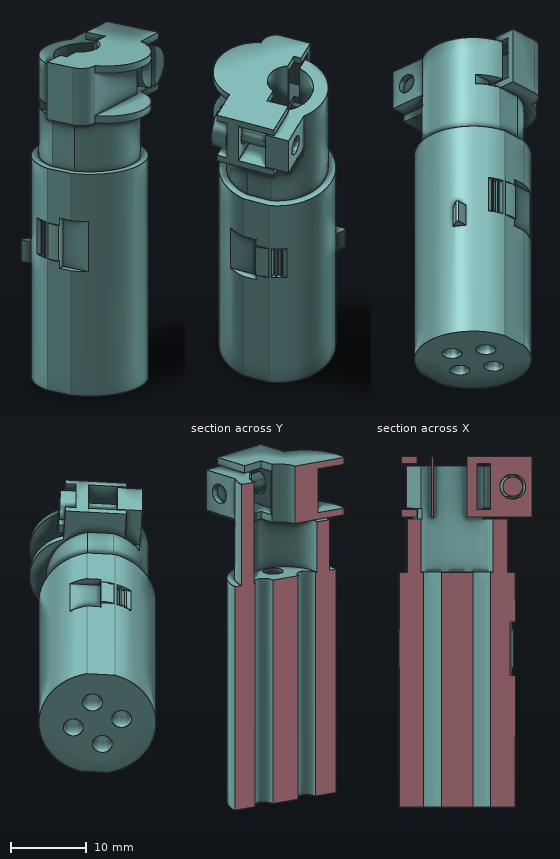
import cadquery as cq
import math

PART_ANGLE = 15.0

BODY_RADIUS = 7.72
BODY_HEIGHT = 31.0
BODY_FLAT = 7.5
NECK_RADIUS = 6.72
NECK_FLAT = 6.5
NECK_TOP = 38.0
BORE_RADIUS = 4.75
CONTACT_RADIUS = 1.3
CONTACT_CIRCLE_RADIUS = 3.25
CONTACT_COUNT = 4

LATCH_HEIGHT = 5.0
LATCH_CENTRE_Z = 20.9
LATCH_FLOOR = 6.58
WINDOW_LENGTH = 4.0
WINDOW_HEIGHT = 7.0
TAB_LENGTH = 1.75
GRIP_START = -4.1
GRIP_END = -2.13
RIB_CENTRES = (-3.3, -2.6)
RIB_WIDTH = 0.22
RIB_RADIUS = 7.45

KEY_ANGLE = 210.0
KEY_TIP_RADIUS = 9.04
KEY_TIP_WIDTH = 0.3
KEY_DEPTH = 2.0
KEY_ROOT_DEPTH = 1.0
KEY_APEX_ANGLE = 56.0
KEY_BOTTOM = 16.05
KEY_HEIGHT = 3.0

JAW_BOTTOM = 39.4
JAW_TOP = 45.0
JAW_END_U = -1.33
EAR_OUTER_U = -5.37
EAR_INNER_U = -2.1
EAR_START_V = 4.0
EAR_END_V = 9.41
SUPPORT_MIN_V = -4.85
SUPPORT_MAX_V = 4.15

CAP_BOTTOM = 38.25
CAP_HEIGHT = 8.0
CAP_TOP = CAP_BOTTOM + CAP_HEIGHT
PLATE = 1.0
CAP_MIN_V = -8.5
CAP_MAX_V = 9.43
CAP_MAX_U = 4.8
CAP_FACE_U = -0.27
CAP_EAR_U = -3.28
CAP_EAR_START_V = 4.3
CAP_LIP_U = -1.3
CAP_LIP_END_V = -5.25
CAP_CORNER_RADIUS = 2.0
CAP_DISC_U = 3.0
CAP_DISC_V = -0.6
CAP_DISC_RADIUS = 5.91
CAP_BORE_U = -1.7
CAP_BORE_V = -0.5
CAP_BORE_RADIUS = 3.05
POCKET_END_U = 1.74
POCKET_LOW_V = -3.45
POCKET_LIP_V = -7.57
POCKET_HIGH_V = 2.4
HEAD_SEAT_U = 3.4
HEAD_SEAT_V = 4.1

SCREW_V = 6.93
SCREW_Z = CAP_BOTTOM + CAP_HEIGHT / 2
SCREW_RADIUS = 1.3
SCREW_HOLE_RADIUS = 1.6
SCREW_END_DEPTH = 0.9
HEAD_RADIUS = 2.8
HEAD_END_U = 5.5
SLOT_WIDTH = 0.84
SLOT_DEPTH = 0.8

FAR = 20.0


def block(u0, u1, v0, v1, z0, z1):
    return cq.Workplane("XY").box(u1 - u0, v1 - v0, z1 - z0, centered=False).translate((u0, v0, z0))


def cylinder(radius, z0, z1, u=0.0, v=0.0):
    return cq.Workplane("XY", origin=(u, v, z0)).circle(radius).extrude(z1 - z0)


def rod(radius, u0, u1):
    """Cylinder on the screw axis."""
    return cq.Workplane("YZ", origin=(u0, SCREW_V, SCREW_Z)).circle(radius).extrude(u1 - u0)


def flatted_cylinder(radius, flat, z0, z1):
    return cylinder(radius, z0, z1).intersect(block(-FAR, FAR, -flat, flat, z0, z1))


def latch_tools():
    """Material to remove and to add for the latch on the -v flat."""
    z0 = LATCH_CENTRE_Z - LATCH_HEIGHT / 2
    z1 = LATCH_CENTRE_Z + LATCH_HEIGHT / 2
    window = block(
        0, WINDOW_LENGTH, -FAR, -LATCH_FLOOR,
        LATCH_CENTRE_Z - WINDOW_HEIGHT / 2, LATCH_CENTRE_Z + WINDOW_HEIGHT / 2,
    )
    grip = block(GRIP_START, GRIP_END, -FAR, -LATCH_FLOOR, z0, z1)
    for centre in RIB_CENTRES:
        rib = block(centre - RIB_WIDTH / 2, centre + RIB_WIDTH / 2, -FAR, 0, z0, z1)
        grip = grip.cut(rib.intersect(cylinder(RIB_RADIUS, z0, z1)))
    tab = block(-TAB_LENGTH, 0, -FAR, -LATCH_FLOOR, z0, z1)
    tab = tab.intersect(cylinder(BODY_RADIUS, z0, z1))
    return window.union(grip), tab


def make_key():
    half_tip = KEY_TIP_WIDTH / 2
    half_width = half_tip + KEY_DEPTH * math.tan(math.radians(KEY_APEX_ANGLE / 2))
    base_radius = KEY_TIP_RADIUS - KEY_DEPTH
    root_radius = base_radius - KEY_ROOT_DEPTH
    key = (
        cq.Workplane("XY", origin=(0, 0, KEY_BOTTOM))
        .polyline([
            (root_radius, -half_width), (base_radius, -half_width),
            (KEY_TIP_RADIUS, -half_tip), (KEY_TIP_RADIUS, half_tip),
            (base_radius, half_width), (root_radius, half_width),
        ])
        .close().extrude(KEY_HEIGHT)
    )
    return key.rotate((0, 0, 0), (0, 0, 1), KEY_ANGLE)


def make_jaw():
    support = block(-FAR, EAR_INNER_U, SUPPORT_MIN_V, SUPPORT_MAX_V, NECK_TOP, JAW_BOTTOM)
    support = support.intersect(cylinder(NECK_RADIUS, NECK_TOP, JAW_BOTTOM))
    lower_part = block(-FAR, JAW_END_U, -FAR, 0, JAW_BOTTOM, JAW_TOP)
    upper_part = block(-FAR, EAR_INNER_U, 0, FAR, JAW_BOTTOM, JAW_TOP)
    ring = cylinder(NECK_RADIUS, JAW_BOTTOM, JAW_TOP).intersect(lower_part.union(upper_part))
    ear = block(EAR_OUTER_U, EAR_INNER_U, EAR_START_V, EAR_END_V, JAW_BOTTOM, JAW_TOP)
    return ring.union(ear).union(support)


def make_shell():
    shell = flatted_cylinder(BODY_RADIUS, BODY_FLAT, 0, BODY_HEIGHT)
    removed, tab = latch_tools()
    shell = shell.cut(removed).cut(removed.mirror("XZ"))
    shell = shell.union(tab).union(tab.mirror("XZ")).union(make_key())
    shell = shell.union(flatted_cylinder(NECK_RADIUS, NECK_FLAT, BODY_HEIGHT, NECK_TOP))
    shell = shell.union(make_jaw())
    shell = shell.cut(cylinder(BORE_RADIUS, BODY_HEIGHT, JAW_TOP))
    for i in range(CONTACT_COUNT):
        angle = math.radians(360 / CONTACT_COUNT * i - PART_ANGLE)
        u = CONTACT_CIRCLE_RADIUS * math.cos(angle)
        v = CONTACT_CIRCLE_RADIUS * math.sin(angle)
        shell = shell.cut(cylinder(CONTACT_RADIUS, 0, BODY_HEIGHT, u, v))
    return shell


def make_cap():
    outline = (
        cq.Workplane("XY", origin=(0, 0, CAP_BOTTOM))
        .moveTo(CAP_LIP_U, CAP_MIN_V)
        .lineTo(CAP_MAX_U - CAP_CORNER_RADIUS, CAP_MIN_V)
        .radiusArc((CAP_MAX_U, CAP_MIN_V + CAP_CORNER_RADIUS), -CAP_CORNER_RADIUS)
        .lineTo(CAP_MAX_U, CAP_MAX_V)
        .lineTo(CAP_EAR_U, CAP_MAX_V)
        .lineTo(CAP_EAR_U, CAP_EAR_START_V)
        .lineTo(CAP_FACE_U, CAP_EAR_START_V)
        .lineTo(CAP_FACE_U, CAP_LIP_END_V)
        .lineTo(CAP_LIP_U, CAP_LIP_END_V)
        .close()
    )
    cap = outline.extrude(CAP_HEIGHT)

    inner_z = (CAP_BOTTOM + PLATE, CAP_TOP - PLATE)
    cap = cap.cut(block(-FAR, POCKET_END_U, POCKET_LIP_V, POCKET_LOW_V, *inner_z))
    cap = cap.cut(block(-FAR, POCKET_END_U, POCKET_HIGH_V, FAR, *inner_z))
    cap = cap.cut(block(HEAD_SEAT_U, FAR, HEAD_SEAT_V, FAR, *inner_z))
    cap = cap.cut(rod(SCREW_HOLE_RADIUS, POCKET_END_U, HEAD_SEAT_U))

    for z0 in (CAP_BOTTOM, CAP_TOP - PLATE):
        disc = cylinder(CAP_DISC_RADIUS, z0, z0 + PLATE, CAP_DISC_U, CAP_DISC_V)
        cap = cap.union(disc.intersect(block(CAP_FACE_U, FAR, -FAR, FAR, z0, z0 + PLATE)))
    return cap.cut(cylinder(CAP_BORE_RADIUS, CAP_BOTTOM, CAP_TOP, CAP_BORE_U, CAP_BORE_V))


def make_screw():
    screw = rod(SCREW_RADIUS, EAR_OUTER_U + SCREW_END_DEPTH, HEAD_SEAT_U)
    head = rod(HEAD_RADIUS, HEAD_SEAT_U, HEAD_END_U)
    slot = block(
        HEAD_END_U - SLOT_DEPTH, FAR, SCREW_V - SLOT_WIDTH / 2, SCREW_V + SLOT_WIDTH / 2,
        CAP_BOTTOM, CAP_TOP,
    )
    return screw.union(head.cut(slot))


shell = make_shell().cut(rod(SCREW_RADIUS, EAR_OUTER_U, EAR_INNER_U))
assembly = shell.union(make_cap()).union(make_screw())
result = assembly.rotate((0, 0, 0), (0, 0, 1), PART_ANGLE)